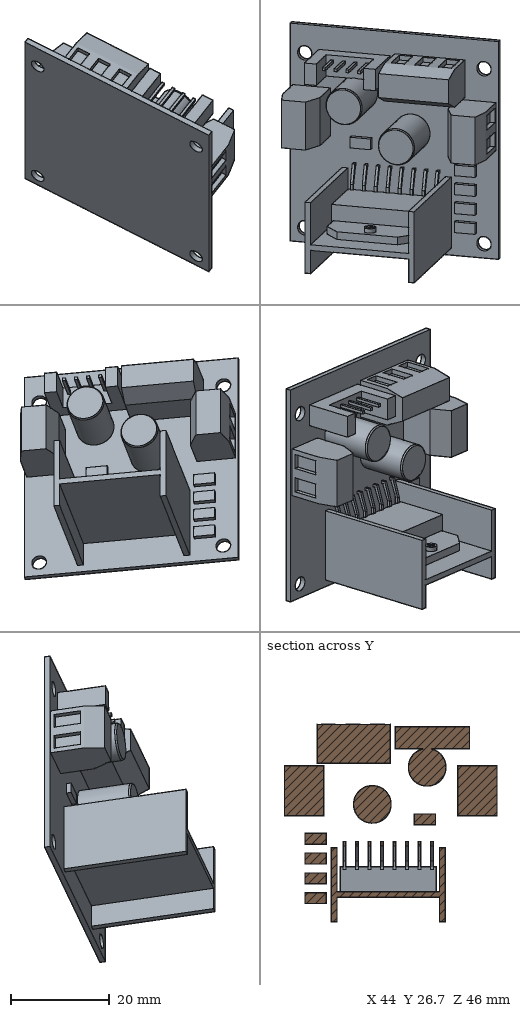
import cadquery as cq

BOARD_WIDTH = 44.0
BOARD_HEIGHT = 46.0
BOARD_THICKNESS = 1.15
BOARD_HOLE_DIAMETER = 3.0
BOARD_HOLE_X = 18.95
BOARD_HOLE_TOP_Z = 16.97
BOARD_HOLE_BOTTOM_Z = -19.95

SINK_TOP_Y = 26.7
SINK_WIDTH = 23.1
SINK_CENTER_X = -0.5
SINK_BOTTOM_Z = -21.5
SINK_TOP_Z = -6.5
SINK_WALL = 1.2
SINK_WEB_TOP_Z = -15.35

CHIP_WIDTH = 19.4
CHIP_BOTTOM_Y = 3.1
CHIP_TOP_Y = 14.3
CHIP_DEPTH = 5.0
TAB_WIDTH = 18.75
TAB_TOP_Y = 21.55
TAB_CHAMFER = 3.0
TAB_DEPTH = 1.6
SCREW_DIAMETER = 2.3
SCREW_Y = 19.4
SCREW_HEAD_HEIGHT = 0.9
SCREW_CROSS_LENGTH = 1.65
SCREW_CROSS_WIDTH = 0.3
SCREW_CROSS_DEPTH = 0.45
LEAD_COUNT = 8
LEAD_PITCH = 2.55
LEAD_SIZE = 0.55
LEAD_BACK_Z = -9.2
LEAD_FRONT_Z = -5.25
LEAD_FRONT_Y = 2.05

TERMINAL_HEIGHT = 12.2
TERMINAL_DEPTH = 7.95
TERMINAL_SHOULDER_Y = 8.2
TERMINAL_FRONT_SLOPE = 1.0
TERMINAL_BACK_SLOPE = 1.9
POCKET_BOTTOM_Y = 1.9
POCKET_TOP_Y = 7.35
POCKET_DEPTH = 1.0
SIDE_TERMINAL_LENGTH = 10.1
SIDE_TERMINAL_FACE_X = 21.5
SIDE_TERMINAL_CENTER_Z = 5.0
SIDE_POCKET_WIDTH = 3.05
SIDE_POCKET_PITCH = 5.05
TOP_TERMINAL_LENGTH = 14.8
TOP_TERMINAL_FACE_Z = 18.5
TOP_TERMINAL_CENTER_X = -7.5
TOP_POCKET_WIDTH = 2.75
TOP_POCKET_PITCH = 4.95
TOP_POCKET_SHIFT = -0.15

HEADER_LEFT_X = 0.87
HEADER_WIDTH = 15.1
HEADER_TOP_Z = 18.0
HEADER_DEPTH = 4.5
HEADER_BASE_Y = 4.3
HEADER_POST_Y = 11.15
HEADER_POST_WIDTH = 2.55
PIN_COUNT = 4
PIN_PITCH = 2.5
PIN_SIZE = 0.6
PIN_TOP_Y = 10.1
PIN_TOP_Z = 17.0

CAPACITOR_DIAMETER = 7.65
CAPACITOR_TOP_Y = 12.2
CAPACITOR_EDGE_HEIGHT = 0.35
CAPACITOR_EDGE_WIDTH = 0.2
CAPACITOR_CENTERS = [(7.35, 9.75), (-3.73, 2.25)]

DIODE_TOP_Y = 2.15
DIODE_LENGTH = 4.32
DIODE_WIDTH = 2.25
DIODE_PITCH = 4.0
DIODE_COUNT = 4
DIODE_CENTER_X = -15.2
DIODE_FIRST_Z = -4.7
INNER_DIODE_CENTER = (6.9, -0.8)


def block(x_range, y_range, z_range):
    """Box spanning the given (low, high) ranges."""
    size = [high - low for low, high in (x_range, y_range, z_range)]
    corner = (x_range[0], y_range[0], z_range[0])
    return cq.Workplane("XY").box(*size, centered=False).translate(corner)


def span(center, size):
    """(low, high) range of the given size about a center."""
    return center - size / 2, center + size / 2


def on_board(top_y):
    """Y range from inside the board up to top_y, so that the parts fuse."""
    return BOARD_THICKNESS / 2, top_y


def row(count, pitch, center):
    """Evenly spaced places about a center."""
    return [center + (i - (count - 1) / 2) * pitch for i in range(count)]


def make_board():
    holes = [
        (x, z)
        for x in (-BOARD_HOLE_X, BOARD_HOLE_X)
        for z in (BOARD_HOLE_BOTTOM_Z, BOARD_HOLE_TOP_Z)
    ]
    return (
        cq.Workplane("XZ")
        .rect(BOARD_WIDTH, BOARD_HEIGHT)
        .pushPoints(holes)
        .circle(BOARD_HOLE_DIAMETER / 2)
        .extrude(-BOARD_THICKNESS)
    )


def make_heat_sink():
    sink_y = on_board(SINK_TOP_Y)
    left, right = span(SINK_CENTER_X, SINK_WIDTH)
    sink_z = (SINK_BOTTOM_Z, SINK_TOP_Z)
    web = block((left, right), sink_y, (SINK_WEB_TOP_Z - SINK_WALL, SINK_WEB_TOP_Z))
    left_fin = block((left, left + SINK_WALL), sink_y, sink_z)
    right_fin = block((right - SINK_WALL, right), sink_y, sink_z)
    return web.union(left_fin).union(right_fin)


def make_screw():
    tab_face = cq.Workplane("XY", origin=(SINK_CENTER_X, SCREW_Y, SINK_WEB_TOP_Z + TAB_DEPTH))
    head_top = tab_face.workplane(offset=SCREW_HEAD_HEIGHT)
    cross = head_top.rect(SCREW_CROSS_LENGTH, SCREW_CROSS_WIDTH).extrude(-SCREW_CROSS_DEPTH)
    cross = cross.union(head_top.rect(SCREW_CROSS_WIDTH, SCREW_CROSS_LENGTH).extrude(-SCREW_CROSS_DEPTH))
    return tab_face.circle(SCREW_DIAMETER / 2).extrude(SCREW_HEAD_HEIGHT).cut(cross)


def make_lead(center_x):
    """Lead that leaves the front of the chip, slopes down and turns into the board."""
    root_z = SINK_WEB_TOP_Z + CHIP_DEPTH - LEAD_SIZE
    root_top_y = CHIP_BOTTOM_Y + LEAD_SIZE / 2
    profile = [
        (root_top_y, LEAD_BACK_Z),
        (LEAD_FRONT_Y, LEAD_FRONT_Z),
        (BOARD_THICKNESS / 2, LEAD_FRONT_Z),
        (BOARD_THICKNESS / 2, LEAD_FRONT_Z - LEAD_SIZE),
        (LEAD_FRONT_Y - LEAD_SIZE, LEAD_FRONT_Z - LEAD_SIZE),
        (root_top_y - LEAD_SIZE, LEAD_BACK_Z),
        (root_top_y - LEAD_SIZE, root_z),
        (root_top_y, root_z),
    ]
    lead = cq.Workplane("YZ").polyline(profile).close().extrude(LEAD_SIZE / 2, both=True)
    return lead.translate((center_x, 0, 0))


def make_chip():
    tab = (
        block(
            span(SINK_CENTER_X, TAB_WIDTH),
            (CHIP_BOTTOM_Y, TAB_TOP_Y),
            (SINK_WEB_TOP_Z, SINK_WEB_TOP_Z + TAB_DEPTH),
        )
        .edges(">Y and |Z")
        .chamfer(TAB_CHAMFER)
    )
    body = block(
        span(SINK_CENTER_X, CHIP_WIDTH),
        (CHIP_BOTTOM_Y, CHIP_TOP_Y),
        (SINK_WEB_TOP_Z, SINK_WEB_TOP_Z + CHIP_DEPTH),
    )
    chip = tab.union(body).union(make_screw())
    for lead_x in row(LEAD_COUNT, LEAD_PITCH, SINK_CENTER_X):
        chip = chip.union(make_lead(lead_x))
    return chip


def make_terminal(length, pocket_places, pocket_width):
    """Terminal block along X about X = 0, wire pockets in its face at Z = 0."""
    bottom_y, top_y = on_board(TERMINAL_HEIGHT)
    profile = [
        (bottom_y, 0),
        (TERMINAL_SHOULDER_Y, 0),
        (top_y, -TERMINAL_FRONT_SLOPE),
        (top_y, TERMINAL_BACK_SLOPE - TERMINAL_DEPTH),
        (TERMINAL_SHOULDER_Y, -TERMINAL_DEPTH),
        (bottom_y, -TERMINAL_DEPTH),
    ]
    terminal = cq.Workplane("YZ").polyline(profile).close().extrude(length / 2, both=True)
    for pocket_x in pocket_places:
        terminal = terminal.cut(
            block(span(pocket_x, pocket_width), (POCKET_BOTTOM_Y, POCKET_TOP_Y), (-POCKET_DEPTH, 0))
        )
    return terminal


def make_terminals():
    top = make_terminal(
        TOP_TERMINAL_LENGTH, row(3, TOP_POCKET_PITCH, TOP_POCKET_SHIFT), TOP_POCKET_WIDTH
    ).translate((TOP_TERMINAL_CENTER_X, 0, TOP_TERMINAL_FACE_Z))
    left = (
        make_terminal(SIDE_TERMINAL_LENGTH, row(2, SIDE_POCKET_PITCH, 0), SIDE_POCKET_WIDTH)
        .rotate((0, 0, 0), (0, 1, 0), -90)
        .translate((-SIDE_TERMINAL_FACE_X, 0, SIDE_TERMINAL_CENTER_Z))
    )
    return top.union(left).union(left.mirror("YZ"))


def make_header():
    right_x = HEADER_LEFT_X + HEADER_WIDTH
    header_z = (HEADER_TOP_Z - HEADER_DEPTH, HEADER_TOP_Z)
    header = block((HEADER_LEFT_X, right_x), on_board(HEADER_BASE_Y), header_z)
    for post_x in (HEADER_LEFT_X, right_x - HEADER_POST_WIDTH):
        header = header.union(
            block((post_x, post_x + HEADER_POST_WIDTH), on_board(HEADER_POST_Y), header_z)
        )
    for pin_x in row(PIN_COUNT, PIN_PITCH, HEADER_LEFT_X + HEADER_WIDTH / 2):
        header = header.union(
            block(span(pin_x, PIN_SIZE), on_board(PIN_TOP_Y), (PIN_TOP_Z - PIN_SIZE, PIN_TOP_Z))
        )
    return header


def make_capacitor(center_x, center_z):
    bottom_y, top_y = on_board(CAPACITOR_TOP_Y)
    return (
        cq.Workplane("XZ", origin=(center_x, bottom_y, center_z))
        .circle(CAPACITOR_DIAMETER / 2)
        .extrude(bottom_y - top_y)
        .faces(">Y")
        .chamfer(CAPACITOR_EDGE_HEIGHT, CAPACITOR_EDGE_WIDTH)
    )


def make_diode(center_x, center_z):
    return block(
        span(center_x, DIODE_LENGTH), on_board(DIODE_TOP_Y), span(center_z, DIODE_WIDTH)
    )


result = make_board().union(make_heat_sink()).union(make_chip())
result = result.union(make_terminals()).union(make_header()).union(make_diode(*INNER_DIODE_CENTER))
for capacitor_x, capacitor_z in CAPACITOR_CENTERS:
    result = result.union(make_capacitor(capacitor_x, capacitor_z))
for diode_index in range(DIODE_COUNT):
    result = result.union(make_diode(DIODE_CENTER_X, DIODE_FIRST_Z - diode_index * DIODE_PITCH))